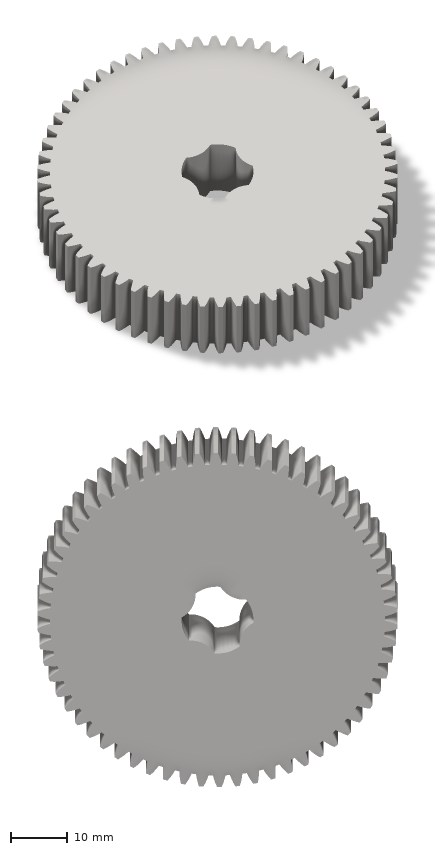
import cadquery as cq
import math

outer_diameter = 64.0
tooth_count = 62
pressure_angle = math.radians(20)
addendum_factor = 1.0
dedendum_factor = 1.25
face_width = 12.5

module = outer_diameter / (tooth_count + 2 * addendum_factor)
outer_radius = outer_diameter / 2
pitch_radius = module * tooth_count / 2
base_radius = pitch_radius * math.cos(pressure_angle)
root_radius = pitch_radius - dedendum_factor * module

bore_radius = 6.4
lobe_radius = 5.0
lobe_clearance = 5.1
lobe_count = 4


def polar(radius, angle):
    return (radius * math.cos(angle), radius * math.sin(angle))


def half_tooth_angle(radius):
    """Angle from the tooth centreline to its involute flank at a radius."""
    flank_angle = math.acos(base_radius / radius)
    pitch_involute = math.tan(pressure_angle) - pressure_angle
    flank_involute = math.tan(flank_angle) - flank_angle
    return math.pi / (2 * tooth_count) + pitch_involute - flank_involute


def make_gear_blank():
    pitch_angle = 2 * math.pi / tooth_count
    root_half = half_tooth_angle(root_radius)
    pitch_half = half_tooth_angle(pitch_radius)
    tip_half = half_tooth_angle(outer_radius)

    outline = cq.Workplane("XY").moveTo(*polar(root_radius, -root_half))
    for tooth in range(tooth_count):
        centre = tooth * pitch_angle
        next_centre = centre + pitch_angle
        outline = (
            outline
            .threePointArc(polar(pitch_radius, centre - pitch_half), polar(outer_radius, centre - tip_half))
            .threePointArc(polar(outer_radius, centre), polar(outer_radius, centre + tip_half))
            .threePointArc(polar(pitch_radius, centre + pitch_half), polar(root_radius, centre + root_half))
            .threePointArc(
                polar(root_radius, centre + pitch_angle / 2),
                polar(root_radius, next_centre - root_half),
            )
        )
    return outline.close().extrude(face_width)


def make_bore():
    bore = cq.Workplane("XY").circle(bore_radius).extrude(face_width)
    lobes = (
        cq.Workplane("XY")
        .polarArray(lobe_clearance + lobe_radius, 0, 360, lobe_count)
        .circle(lobe_radius)
        .extrude(face_width)
    )
    return bore.cut(lobes)


result = make_gear_blank().cut(make_bore())